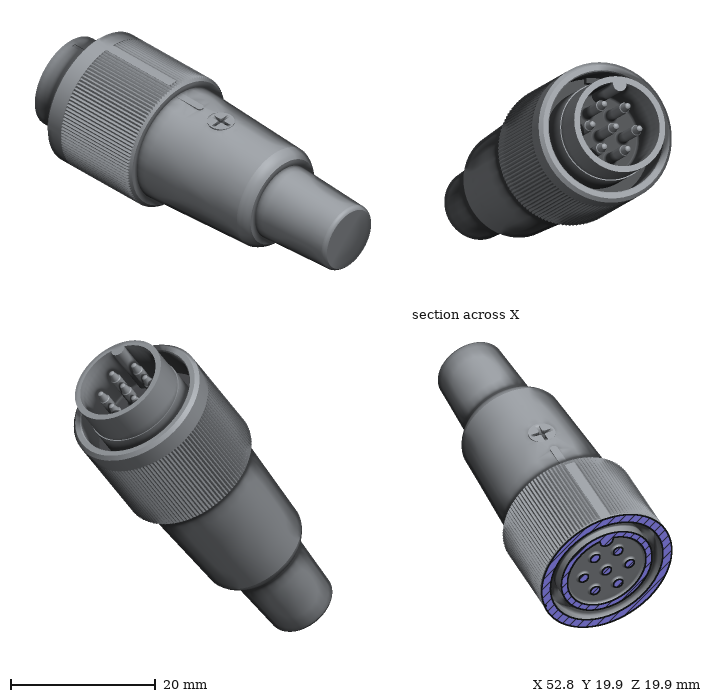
import cadquery as cq
import math


SHELL_RADIUS = 13.6 / 2
SHELL_BORE_RADIUS = 5.95
SHELL_FLOOR_X = 7.8
FLOOR_FILLET = 0.35
COLLAR_RADIUS = 13.9 / 2
COLLAR_START_X = 4.8

MARK_START_X = 1.0
MARK_WIDTH = 0.6
MARK_DEPTH = 0.1

KEY_START_X = 0
KEY_RADIUS = 1.0
KEY_CENTER_Z = 5.7

PIN_RADIUS = 1.49 / 2
PIN_TIP_RADIUS = 0.4
PIN_TIP_DOME = 0.15
PIN_CHAMFER = 0.1
PIN_START_X = 1.15
PIN_TAPER_LENGTH = 1.3
PIN_CIRCLE_RADIUS = 3.5
PIN_CIRCLE_COUNT = 6

RING_RADIUS = 19.9 / 2
RING_START_X = 4.85
RING_END_X = 20.75
RING_CHAMFER = 0.5
RING_BORE_RADIUS = 17.1 / 2
RING_MOUTH_CHAMFER = 0.15
RING_FLOOR_X = 10.1
LUG_WIDTH = 2.5
LUG_INNER_Z = 7.75
LUG_LENGTH = 1.0

KNURL_START_X = 7.8
KNURL_COUNT = 120
KNURL_DEPTH = 0.22
KNURL_LAND = 0.02
PLAIN_STRIP_WIDTH = 1.43
STRIP_END_X = 19.7

BODY_START_RADIUS = 8.5
BODY_SHOULDER_RADIUS = 7.6
BODY_END_RADIUS = 6.5
BODY_SHOULDER_X = 38.7
BODY_END_X = 40.3
SHOULDER_BULGE = 0.15

SLEEVE_START_RADIUS = 5.55
SLEEVE_EDGE_RADIUS = 4.95
SLEEVE_END_RADIUS = 4.5
SLEEVE_EDGE_X = 52.2
LENGTH = 52.8
SLEEVE_EDGE_BULGE = 0.08

POINTER_WIDTH = 1.1
POINTER_TOP_Z = BODY_START_RADIUS
POINTER_END_X = 25.3

SCREW_X = 28.75
SCREW_RADIUS = 1.9
SCREW_TOP_Z = 8.1
CROSS_RADIUS = 1.65
CROSS_WIDTH = 0.5
CROSS_DEPTH = 0.6
CROSS_CENTER_RADIUS = 0.5


def bulged_midpoint(start, end, bulge):
    """Middle point of an arc that bows outward (to larger X and radius) from its chord."""
    dx = end[0] - start[0]
    dr = end[1] - start[1]
    chord = math.hypot(dx, dr)
    mid_x = (start[0] + end[0]) / 2 - dr / chord * bulge
    mid_r = (start[1] + end[1]) / 2 + dx / chord * bulge
    return (mid_x, mid_r)


def revolve_about_x(profile):
    return profile.close().revolve(360, (0, 0, 0), (1, 0, 0))


def cylinder_along_x(radius, start_x, end_x):
    return cq.Workplane("YZ").workplane(offset=start_x).circle(radius).extrude(end_x - start_x)


def make_outside():
    """Shell, collar, ring, body and sleeve as one turned solid, with the front recesses cut in."""
    shoulder = (BODY_SHOULDER_X, BODY_SHOULDER_RADIUS)
    body_end = (BODY_END_X, BODY_END_RADIUS)
    sleeve_edge = (SLEEVE_EDGE_X, SLEEVE_EDGE_RADIUS)
    sleeve_end = (LENGTH, SLEEVE_END_RADIUS)
    mouth_radius = RING_BORE_RADIUS + RING_MOUTH_CHAMFER
    ring_edge_radius = RING_RADIUS - RING_CHAMFER
    profile = (
        cq.Workplane("XY")
        .moveTo(SHELL_FLOOR_X, 0)
        .lineTo(SHELL_FLOOR_X, SHELL_BORE_RADIUS - FLOOR_FILLET)
        .tangentArcPoint((-FLOOR_FILLET, FLOOR_FILLET))
        .lineTo(0, SHELL_BORE_RADIUS)
        .lineTo(0, SHELL_RADIUS)
        .lineTo(COLLAR_START_X, SHELL_RADIUS)
        .lineTo(COLLAR_START_X, COLLAR_RADIUS)
        .lineTo(RING_FLOOR_X, COLLAR_RADIUS)
        .lineTo(RING_FLOOR_X, RING_BORE_RADIUS)
        .lineTo(RING_START_X + RING_MOUTH_CHAMFER, RING_BORE_RADIUS)
        .lineTo(RING_START_X, mouth_radius)
        .lineTo(RING_START_X, ring_edge_radius)
        .lineTo(RING_START_X + RING_CHAMFER, RING_RADIUS)
        .lineTo(RING_END_X - RING_CHAMFER, RING_RADIUS)
        .lineTo(RING_END_X, ring_edge_radius)
        .lineTo(RING_END_X, BODY_START_RADIUS)
        .lineTo(*shoulder)
        .threePointArc(bulged_midpoint(shoulder, body_end, SHOULDER_BULGE), body_end)
        .lineTo(BODY_END_X, SLEEVE_START_RADIUS)
        .lineTo(*sleeve_edge)
        .threePointArc(bulged_midpoint(sleeve_edge, sleeve_end, SLEEVE_EDGE_BULGE), sleeve_end)
        .lineTo(LENGTH, 0)
    )
    return revolve_about_x(profile)


def make_key():
    length = SHELL_FLOOR_X - KEY_START_X
    root_z = (SHELL_BORE_RADIUS + SHELL_RADIUS) / 2
    return (
        cq.Workplane("YZ")
        .workplane(offset=KEY_START_X)
        .moveTo(-KEY_RADIUS, root_z)
        .lineTo(-KEY_RADIUS, KEY_CENTER_Z)
        .threePointArc((0, KEY_CENTER_Z - KEY_RADIUS), (KEY_RADIUS, KEY_CENTER_Z))
        .lineTo(KEY_RADIUS, root_z)
        .close()
        .extrude(length)
    )


def make_pin():
    """Pin on the X axis with a tapered, domed tip and a filleted foot on the shell floor."""
    taper_end_x = PIN_START_X + PIN_TAPER_LENGTH
    dome_edge = (PIN_START_X + PIN_TIP_DOME, PIN_TIP_RADIUS)
    dome_sphere_radius = (PIN_TIP_RADIUS**2 + PIN_TIP_DOME**2) / (2 * PIN_TIP_DOME)
    dome_half_angle = math.asin(PIN_TIP_RADIUS / dome_sphere_radius) / 2
    dome_middle = (
        PIN_START_X + dome_sphere_radius * (1 - math.cos(dome_half_angle)),
        dome_sphere_radius * math.sin(dome_half_angle),
    )
    profile = (
        cq.Workplane("XY")
        .moveTo(PIN_START_X, 0)
        .threePointArc(dome_middle, dome_edge)
        .lineTo(taper_end_x, PIN_RADIUS - PIN_CHAMFER)
        .lineTo(taper_end_x + PIN_CHAMFER, PIN_RADIUS)
        .lineTo(SHELL_FLOOR_X - FLOOR_FILLET, PIN_RADIUS)
        .tangentArcPoint((FLOOR_FILLET, FLOOR_FILLET))
        .lineTo(SHELL_FLOOR_X, 0)
    )
    return revolve_about_x(profile)


def add_pins(part):
    pin = make_pin()
    part = part.union(pin)
    for index in range(PIN_CIRCLE_COUNT):
        angle = 2 * math.pi * index / PIN_CIRCLE_COUNT
        y = PIN_CIRCLE_RADIUS * math.cos(angle)
        z = PIN_CIRCLE_RADIUS * math.sin(angle)
        part = part.union(pin.translate((0, y, z)))
    return part


def make_lugs():
    """Two lugs on the ring floor, at the top and bottom of the bore."""
    middle_radius = (RING_BORE_RADIUS + RING_RADIUS) / 2
    lug_height = middle_radius - LUG_INNER_Z
    center_z = (middle_radius + LUG_INNER_Z) / 2
    return (
        cq.Workplane("YZ")
        .workplane(offset=RING_FLOOR_X - LUG_LENGTH)
        .pushPoints([(0, center_z), (0, -center_z)])
        .rect(LUG_WIDTH, lug_height)
        .extrude(LUG_LENGTH)
    )


def make_mark_groove():
    length = COLLAR_START_X - MARK_START_X
    return (
        cq.Workplane("XY")
        .workplane(offset=SHELL_RADIUS - MARK_DEPTH)
        .center(MARK_START_X + length / 2, 0)
        .rect(length, MARK_WIDTH)
        .extrude(COLLAR_RADIUS - SHELL_RADIUS + MARK_DEPTH)
    )


def cut_knurl(part):
    """Cut evenly spaced V grooves, one of them centered at the top."""
    half_width = math.pi * RING_RADIUS / KNURL_COUNT - KNURL_LAND / 2
    groove = (
        cq.Workplane("YZ")
        .workplane(offset=KNURL_START_X)
        .moveTo(0, RING_RADIUS - KNURL_DEPTH)
        .lineTo(2 * half_width, RING_RADIUS + KNURL_DEPTH)
        .lineTo(-2 * half_width, RING_RADIUS + KNURL_DEPTH)
        .close()
        .extrude(RING_END_X - KNURL_START_X)
        .val()
    )
    cutters = []
    for index in range(KNURL_COUNT):
        angle = index * 360 / KNURL_COUNT
        cutters.append(groove.rotate(cq.Vector(), cq.Vector(1, 0, 0), angle))
    return cq.Workplane(part.val().cut(*cutters))


def make_plain_strip():
    """Smooth strip that fills the top grooves flush with the ring surface."""
    length = STRIP_END_X - KNURL_START_X
    base_radius = RING_RADIUS - 2 * KNURL_DEPTH
    strip = (
        cq.Workplane("YZ")
        .workplane(offset=KNURL_START_X)
        .center(0, RING_RADIUS)
        .rect(PLAIN_STRIP_WIDTH, 4 * KNURL_DEPTH)
        .extrude(length)
    )
    tube = cylinder_along_x(RING_RADIUS, KNURL_START_X, STRIP_END_X).cut(
        cylinder_along_x(base_radius, KNURL_START_X, STRIP_END_X)
    )
    return strip.intersect(tube)


def make_pointer():
    half_width = POINTER_WIDTH / 2
    straight_end_x = POINTER_END_X - half_width
    start_x = RING_END_X - RING_CHAMFER
    base_z = BODY_SHOULDER_RADIUS
    return (
        cq.Workplane("XY")
        .workplane(offset=base_z)
        .moveTo(start_x, -half_width)
        .lineTo(straight_end_x, -half_width)
        .threePointArc((POINTER_END_X, 0), (straight_end_x, half_width))
        .lineTo(start_x, half_width)
        .close()
        .extrude(POINTER_TOP_Z - base_z)
    )


def make_screw_seat():
    """Cylinder above the screw face, which flattens the body there."""
    return (
        cq.Workplane("XY")
        .workplane(offset=SCREW_TOP_Z)
        .center(SCREW_X, 0)
        .circle(SCREW_RADIUS)
        .extrude(BODY_START_RADIUS - SCREW_TOP_Z)
    )


def make_screw():
    """Flat screw head and the cross recess to cut in it, whose arms slope down toward a flat middle."""
    head_height = 2 * CROSS_DEPTH
    base_z = SCREW_TOP_Z - head_height
    head = cq.Workplane("XY").workplane(offset=base_z).circle(SCREW_RADIUS).extrude(head_height)
    arm_pair = (
        cq.Workplane("XZ")
        .workplane(offset=-CROSS_WIDTH / 2)
        .moveTo(-CROSS_RADIUS, SCREW_TOP_Z)
        .lineTo(-CROSS_CENTER_RADIUS, SCREW_TOP_Z - CROSS_DEPTH)
        .lineTo(CROSS_CENTER_RADIUS, SCREW_TOP_Z - CROSS_DEPTH)
        .lineTo(CROSS_RADIUS, SCREW_TOP_Z)
        .close()
        .extrude(CROSS_WIDTH)
    )
    middle = (
        cq.Workplane("XY")
        .workplane(offset=SCREW_TOP_Z - CROSS_DEPTH)
        .circle(CROSS_CENTER_RADIUS)
        .extrude(CROSS_DEPTH)
    )
    second_pair = arm_pair.rotate((0, 0, 0), (0, 0, 1), 90)
    recess = arm_pair.union(second_pair).union(middle)
    return head.translate((SCREW_X, 0, 0)), recess.translate((SCREW_X, 0, 0))


part = make_outside().union(make_key())
part = add_pins(part)
part = part.union(make_lugs())
part = part.cut(make_mark_groove())
part = part.union(make_pointer())
screw_head, screw_recess = make_screw()
part = part.cut(make_screw_seat()).union(screw_head).cut(screw_recess)
part = cut_knurl(part)
result = part.union(make_plain_strip())